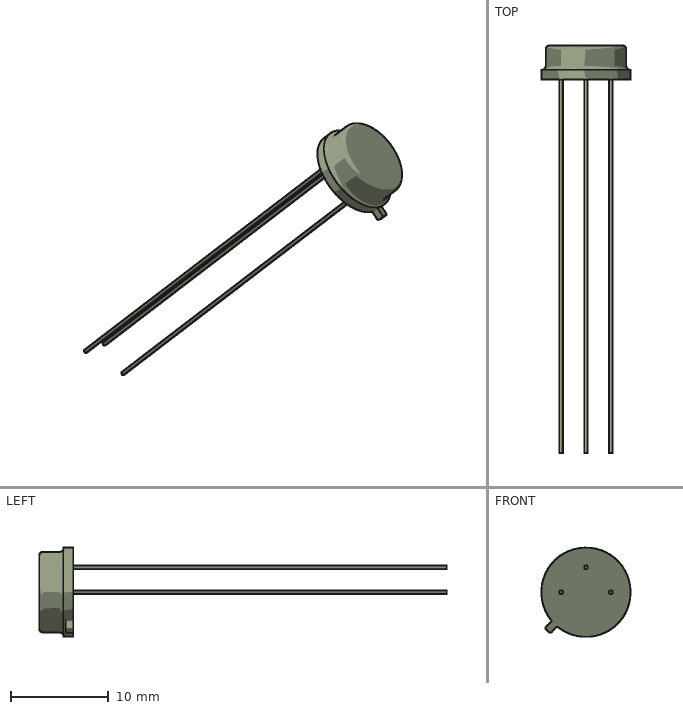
import cadquery as cq
import math


flange_diameter = 9.14
total_length = 41.61
lead_length = 38.11
can_height = total_length - lead_length

flange_thickness = 1.016
cap_diameter = 8.255
cap_top_radius = 0.4
cap_foot_radius = 0.4

tab_width = 0.8
tab_reach = 5.57
tab_thickness = 0.8
tab_root_radius = 0.1
tab_tip_radius = 0.15
tab_angle = 225

lead_diameter = 0.4
lead_circle_radius = 2.54
lead_angles = (0, 90, 180)


def make_can():
    """Flange and rounded cap, revolved from a half section about the Y axis."""
    flange_radius = flange_diameter / 2
    cap_radius = cap_diameter / 2
    diagonal = math.sqrt(0.5)
    foot_inset = cap_foot_radius * (1 - diagonal)
    top_inset = cap_top_radius * (1 - diagonal)

    section = (
        cq.Workplane("XY")
        .lineTo(flange_radius, 0)
        .lineTo(flange_radius, flange_thickness)
        .lineTo(cap_radius + cap_foot_radius, flange_thickness)
        .threePointArc(
            (cap_radius + foot_inset, flange_thickness + foot_inset),
            (cap_radius, flange_thickness + cap_foot_radius),
        )
        .lineTo(cap_radius, can_height - cap_top_radius)
        .threePointArc(
            (cap_radius - top_inset, can_height - top_inset),
            (cap_radius - cap_top_radius, can_height),
        )
        .lineTo(0, can_height)
        .close()
    )
    return section.revolve(360, (0, 0, 0), (0, 1, 0))


def make_tab():
    """Radial tab, level with the flange underside, with rounded root and tip corners."""
    rim_radius = flange_diameter / 2
    half_width = tab_width / 2

    arc_centre_y = half_width + tab_root_radius
    arc_centre_distance = rim_radius + tab_root_radius
    arc_centre_x = math.sqrt(arc_centre_distance**2 - arc_centre_y**2)
    rim_x = arc_centre_x * rim_radius / arc_centre_distance
    rim_y = arc_centre_y * rim_radius / arc_centre_distance

    outline = (
        cq.Workplane("XY")
        .lineTo(rim_x, -rim_y)
        .radiusArc((arc_centre_x, -half_width), tab_root_radius)
        .lineTo(tab_reach - tab_tip_radius, -half_width)
        .radiusArc((tab_reach, tab_tip_radius - half_width), -tab_tip_radius)
        .lineTo(tab_reach, half_width - tab_tip_radius)
        .radiusArc((tab_reach - tab_tip_radius, half_width), -tab_tip_radius)
        .lineTo(arc_centre_x, half_width)
        .radiusArc((rim_x, rim_y), tab_root_radius)
        .close()
    )
    tab = outline.extrude(tab_thickness)
    upright = tab.rotate((0, 0, 0), (1, 0, 0), -90)
    return upright.rotate((0, 0, 0), (0, 1, 0), -tab_angle)


def make_lead(angle):
    """Straight round lead running from the flange underside towards -Y."""
    x = lead_circle_radius * math.cos(math.radians(angle))
    z = lead_circle_radius * math.sin(math.radians(angle))
    return (
        cq.Workplane("XZ")
        .center(x, z)
        .circle(lead_diameter / 2)
        .extrude(lead_length)
    )


result = make_can().union(make_tab())
for lead_angle in lead_angles:
    result = result.union(make_lead(lead_angle))